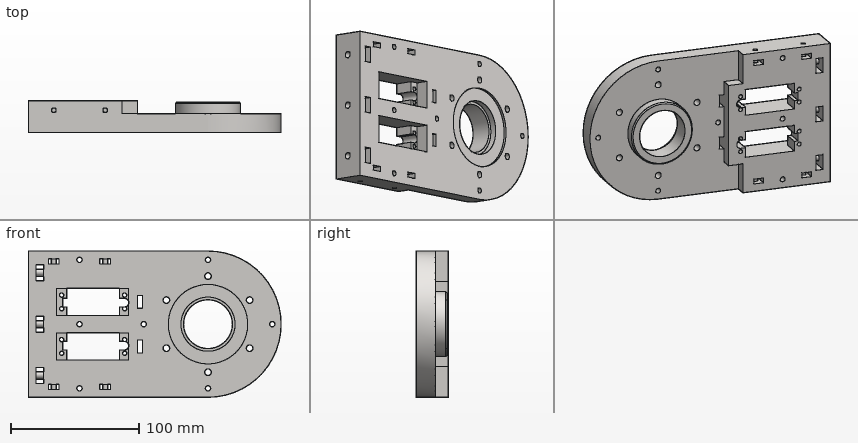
import cadquery as cq
length = 197.0
height = 114.0
plate_thickness = 15.0
end_radius = height / 2
ring_x = length - end_radius

block_thickness = 25.0
block_length = 73.0
tongue_end = 85.1
tongue_height = 66.2

boss_radius = 25.5
boss_top = 23.8
boss_chamfer = 1.0
recess_radius = 31.0
recess_depth = 2.0
seat_radius = 21.0
seat_depth = 7.0
bore_radius = 19.0

grid_pitch = 50.0
grid_hole_diameter = 4.0
bolt_circle_radius = 37.5
bolt_hole_diameter = 5.0
bolt_count = 6

servo_z = 17.3
pocket_start = 22.0
pocket_length = 56.1
pocket_height = 21.0
ledge_depth = 10.2
opening_start = 30.1
opening_length = 40.8
notch_z = 16.7
notch_height = 6.5
notch_start = 27.0
notch_end_radius = notch_height / 2
servo_hole_diameter = 3.2
servo_hole_start = 26.0
servo_hole_span = 49.0
servo_hole_rise = 10.6

cable_slot_width = 3.7
cable_slot_height = 9.8

end_screw_pitch = 40.0
end_screw_diameter = 5.0
end_sleeve_diameter = 6.0
end_screw_y = 13.0
end_slot_start = 6.1
end_slot_width = 6.0
end_slot_height = 12.2

edge_screw_start = 19.9
edge_screw_pitch = 40.0
edge_screw_diameter = 3.3
edge_sleeve_diameter = 4.1
edge_screw_y = 17.5
edge_slot_z = 48.9
edge_slot_width = 8.0
edge_slot_height = 4.0


def box(x_start, x_size, z_centre, z_size, y_start, y_end):
    """Box from y_start to y_end, starting at x_start and centred on z_centre."""
    corner = cq.Vector(x_start, y_start, z_centre - z_size / 2)
    return cq.Workplane(cq.Solid.makeBox(x_size, y_end - y_start, z_size, corner))


def rod(diameter, length_along, start, direction):
    """Cylinder from a start point along a direction."""
    return cq.Workplane(
        cq.Solid.makeCylinder(diameter / 2, length_along, cq.Vector(*start), cq.Vector(*direction))
    )


def disc(radius, x, z, y_start, y_end):
    """Cylinder along Y."""
    return rod(2 * radius, y_end - y_start, (x, y_start, z), (0, 1, 0))


def plate_and_block():
    plate = (
        cq.Workplane("XZ")
        .moveTo(0, -end_radius)
        .lineTo(ring_x, -end_radius)
        .threePointArc((length, 0), (ring_x, end_radius))
        .lineTo(0, end_radius)
        .close()
        .extrude(-plate_thickness)
    )
    block = box(0, block_length, 0, height, 0, block_thickness)
    tongue = box(0, tongue_end, 0, tongue_height, 0, block_thickness)
    return plate.union(block).union(tongue)


def add_bearing_seat(body):
    boss = disc(boss_radius, ring_x, 0, 0, boss_top).faces(">Y").chamfer(boss_chamfer)
    body = body.union(boss)
    body = body.cut(disc(recess_radius, ring_x, 0, 0, recess_depth))
    body = body.cut(disc(seat_radius, ring_x, 0, 0, seat_depth))
    return body.cut(disc(bore_radius, ring_x, 0, 0, boss_top))


def cut_mounting_holes(body):
    first_x = ring_x - 2 * grid_pitch
    grid_points = [(first_x, 0), (first_x + grid_pitch, 0), (ring_x + grid_pitch, 0)]
    for x in (first_x, ring_x):
        grid_points += [(x, grid_pitch), (x, -grid_pitch)]
    for x, z in grid_points:
        body = body.cut(disc(grid_hole_diameter / 2, x, z, 0, block_thickness))
    bolt_holes = (
        cq.Workplane("XZ", origin=(ring_x, 0, 0))
        .polarArray(bolt_circle_radius, 90, 360, bolt_count)
        .circle(bolt_hole_diameter / 2)
        .extrude(-plate_thickness)
    )
    return body.cut(bolt_holes)


def servo_notch(z):
    """Slot with a square -X end and a rounded +X end, cut through the servo ledges."""
    arc_x = pocket_start + pocket_length - notch_end_radius
    slot = box(notch_start, arc_x - notch_start, z, notch_height, ledge_depth, block_thickness)
    round_end = disc(notch_end_radius, arc_x, z, ledge_depth, block_thickness)
    return slot.union(round_end)


def cut_servo_pocket(body, side):
    z = side * servo_z
    body = body.cut(box(pocket_start, pocket_length, z, pocket_height, 0, ledge_depth))
    body = body.cut(box(opening_start, opening_length, z, pocket_height, 0, block_thickness))
    body = body.cut(servo_notch(side * notch_z))
    for x in (servo_hole_start, servo_hole_start + servo_hole_span):
        for hole_side in (-1, 1):
            hole_z = z + hole_side * servo_hole_rise / 2
            body = body.cut(disc(servo_hole_diameter / 2, x, hole_z, ledge_depth, block_thickness))
    return body


def cut_end_screw(body, z):
    slot = box(end_slot_start, end_slot_width, z, end_slot_height, 0, block_thickness)
    sleeve_start = (end_slot_start, end_screw_y, z)
    slot = slot.cut(rod(end_sleeve_diameter, end_slot_width, sleeve_start, (1, 0, 0)))
    hole_depth = end_slot_start + end_slot_width
    hole = rod(end_screw_diameter, hole_depth, (0, end_screw_y, z), (1, 0, 0))
    return body.cut(slot).cut(hole)


def cut_edge_screw(body, x, side):
    inward = (0, 0, -side)
    slot_start = x - edge_slot_width / 2
    slot = box(slot_start, edge_slot_width, side * edge_slot_z, edge_slot_height, 0, block_thickness)
    sleeve_start = (x, edge_screw_y, side * (edge_slot_z + edge_slot_height / 2))
    slot = slot.cut(rod(edge_sleeve_diameter, edge_slot_height, sleeve_start, inward))
    hole_depth = height / 2 - (edge_slot_z - edge_slot_height / 2)
    hole = rod(edge_screw_diameter, hole_depth, (x, edge_screw_y, side * height / 2), inward)
    return body.cut(slot).cut(hole)


def cut_cable_slot(body, side):
    slot_z = side * servo_z
    slot = box(tongue_end, cable_slot_width, slot_z, cable_slot_height, 0, plate_thickness)
    return body.cut(slot)


result = cut_mounting_holes(add_bearing_seat(plate_and_block()))
for side in (-1, 1):
    result = cut_servo_pocket(result, side)
    result = cut_cable_slot(result, side)
    for x in (edge_screw_start, edge_screw_start + edge_screw_pitch):
        result = cut_edge_screw(result, x, side)
for row in (-1, 0, 1):
    result = cut_end_screw(result, row * end_screw_pitch)